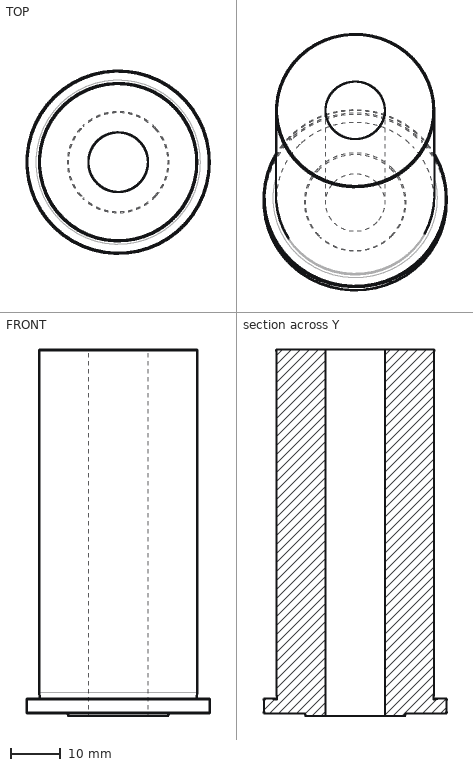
import cadquery as cq

total_height = 74.0
flange_diameter = 37.0
body_diameter = 32.0
bore_diameter = 12.0

boss_diameter = 20.5
boss_height = 0.5
boss_taper = 0.2

flange_thickness = 3.0
flange_chamfer = 0.2
top_chamfer = 0.2

relief_height = 1.2
relief_depth = 0.15
relief_flange_depth = 0.15
relief_overrun = 0.6
relief_round = 0.15

flange_radius = flange_diameter / 2
body_radius = body_diameter / 2
boss_radius = boss_diameter / 2
bore_radius = bore_diameter / 2
flange_top = boss_height + flange_thickness
relief_radius = body_radius - relief_depth
relief_floor = flange_top - relief_flange_depth
relief_top = flange_top + relief_height


def turned_profile():
    """Half section of the bushing as (radius, height)."""
    return (
        cq.Workplane("XZ")
        .moveTo(bore_radius, 0)
        .lineTo(boss_radius - boss_taper, 0)
        .lineTo(boss_radius, boss_height)
        .lineTo(flange_radius - flange_chamfer, boss_height)
        .lineTo(flange_radius, boss_height + flange_chamfer)
        .lineTo(flange_radius, flange_top - flange_chamfer)
        .lineTo(flange_radius - flange_chamfer, flange_top)
        .lineTo(body_radius + relief_overrun, flange_top)
        .lineTo(relief_radius + relief_round, relief_floor)
        .radiusArc((relief_radius, relief_floor + relief_round), relief_round)
        .lineTo(body_radius, relief_top)
        .lineTo(body_radius, total_height - top_chamfer)
        .lineTo(body_radius - top_chamfer, total_height)
        .lineTo(bore_radius, total_height)
        .close()
    )


result = turned_profile().revolve(360, (0, 0, 0), (0, 1, 0))